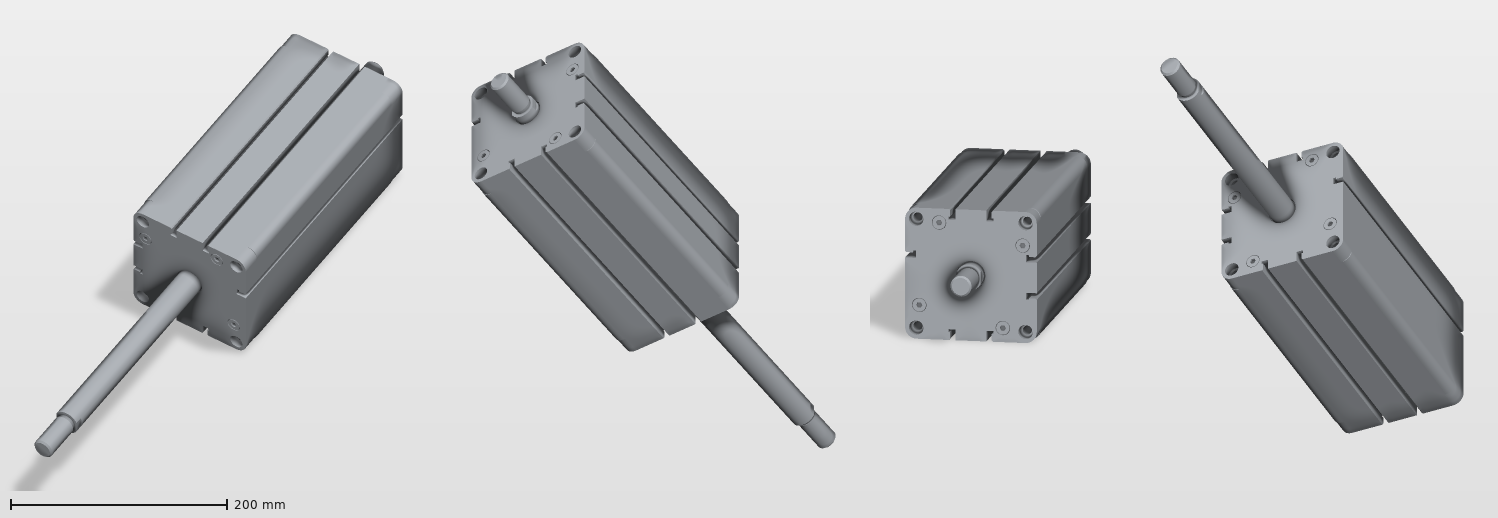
import cadquery as cq
import math


housing_side = 124.0
housing_length = 266.0
housing_front = -33.5
housing_back = housing_front + housing_length
cap_length = 18.5
cap_corner_radius = 11.0
tube_corner_radius = 9.0
half_side = housing_side / 2

end_faces = [(housing_front, 1), (housing_back, -1)]

slot_position = 17.0
slot_width = 5.0
slot_depth = 10.0
undercut_width = 1.5
undercut_height = 3.0
slot_edge_chamfer = 1.0

mount_position = 51.5
mount_through_diameter = 8.5
mount_bore_diameter = 13.5
mount_bore_depth = 8.5

screw_near = 30.0
screw_far = 49.0
screw_bore_diameter = 13.5
screw_head_diameter = 12.5
screw_head_gap = 3.0
screw_socket_width = 5.0
screw_socket_depth = 3.0

rod_length = 566.5
rod_diameter = 25.0
thread_length = 37.0
thread_diameter = 20.0
thread_chamfer = 1.5
neck_length = 4.0
neck_diameter = 17.5
flat_length = 8.0
flat_width = 22.0
rod_bore_diameter = 27.0
rod_bore_depth = 3.0


def rounded_block(y_start, y_end, corner_radius):
    """Square bar along Y with rounded long edges."""
    block = cq.Workplane("XY").box(housing_side, y_end - y_start, housing_side)
    return block.edges("|Y").fillet(corner_radius).translate((0, (y_start + y_end) / 2, 0))


def cylinder_y(x, z, diameter, y_start, y_end):
    """Round bar along Y between two Y positions."""
    base = cq.Workplane("XZ", origin=(x, y_start, z))
    return base.circle(diameter / 2).extrude(y_start - y_end)


def sensor_slot(side, turn):
    """Full-length slot in the top face, on the +X or -X side, turned about Y."""
    inner = slot_position - slot_width / 2
    outer = slot_position + slot_width / 2
    floor = half_side - slot_depth
    ledge = floor + undercut_height
    profile = [
        (inner, half_side),
        (inner, floor),
        (outer + undercut_width, floor),
        (outer + undercut_width, ledge),
        (outer, ledge),
        (outer, half_side - slot_edge_chamfer),
        (outer + slot_edge_chamfer, half_side),
    ]
    points = [(side * x, z) for x, z in profile]
    base = cq.Workplane("XZ", origin=(0, housing_front, 0))
    slot = base.polyline(points).close().extrude(-housing_length)
    return slot.rotate((0, 0, 0), (0, 1, 0), turn)


def mounting_hole(x, z):
    """Through hole counterbored at both ends."""
    hole = cylinder_y(x, z, mount_through_diameter, housing_front, housing_back)
    for y_face, inward in end_faces:
        y_floor = y_face + inward * mount_bore_depth
        hole = hole.union(cylinder_y(x, z, mount_bore_diameter, y_face, y_floor))
    return hole


def screw_recess(x, z, y_face, inward):
    """Gap around a flush cap screw head, and the hexagon socket in the head."""
    y_gap = y_face + inward * screw_head_gap
    gap = cylinder_y(x, z, screw_bore_diameter, y_face, y_gap)
    gap = gap.cut(cylinder_y(x, z, screw_head_diameter, y_face, y_gap))
    corner_diameter = screw_socket_width / math.cos(math.pi / 6)
    base = cq.Workplane("XZ", origin=(x, y_face, z))
    socket = base.polygon(6, corner_diameter).extrude(-inward * screw_socket_depth)
    return gap.add(socket)


def wrench_flat(side, end, shaft_end):
    """Cutter for one flat at a shaft end, running out at 45 degrees toward the middle."""
    x_flat = flat_width / 2
    x_outer = rod_diameter / 2
    y_runout = shaft_end - flat_length
    profile = [
        (x_flat, shaft_end),
        (x_outer, shaft_end),
        (x_outer, y_runout),
        (x_flat, y_runout + x_outer - x_flat),
    ]
    points = [(side * x, end * y) for x, y in profile]
    return cq.Workplane("XY").polyline(points).close().extrude(rod_diameter / 2, both=True)


def piston_rod():
    """Rod with wrench flats, neck and thread at each end."""
    shaft_end = rod_length / 2 - thread_length - neck_length
    thread_start = rod_length / 2 - thread_length
    rod = cylinder_y(0, 0, rod_diameter, -shaft_end, shaft_end)
    rod = rod.union(cylinder_y(0, 0, neck_diameter, -thread_start, thread_start))
    for end in (-1, 1):
        thread = cylinder_y(0, 0, thread_diameter, end * thread_start, end * rod_length / 2)
        tip = "<Y" if end < 0 else ">Y"
        rod = rod.union(thread.faces(tip).chamfer(thread_chamfer))
        for side in (-1, 1):
            rod = rod.cut(wrench_flat(side, end, shaft_end))
    return rod


tube_front = housing_front + cap_length
tube_back = housing_back - cap_length
housing = rounded_block(tube_front, tube_back, tube_corner_radius)
housing = housing.union(rounded_block(housing_front, tube_front, cap_corner_radius))
housing = housing.union(rounded_block(tube_back, housing_back, cap_corner_radius))

slot_places = [(-1, 0), (1, 0), (-1, 180), (1, 180), (-1, -90), (1, -90), (-1, 90)]
for side, turn in slot_places:
    housing = housing.cut(sensor_slot(side, turn))

for x in (-mount_position, mount_position):
    for z in (-mount_position, mount_position):
        housing = housing.cut(mounting_hole(x, z))

screw_places = [
    (screw_near, screw_far),
    (-screw_far, screw_near),
    (-screw_near, -screw_far),
    (screw_far, -screw_near),
]
for y_face, inward in end_faces:
    for x, z in screw_places:
        for cutter in screw_recess(x, z, y_face, inward).vals():
            housing = housing.cut(cq.Workplane(cutter))
    rod_bore = cylinder_y(0, 0, rod_bore_diameter, y_face, y_face + inward * rod_bore_depth)
    housing = housing.cut(rod_bore)

result = housing.union(piston_rod())